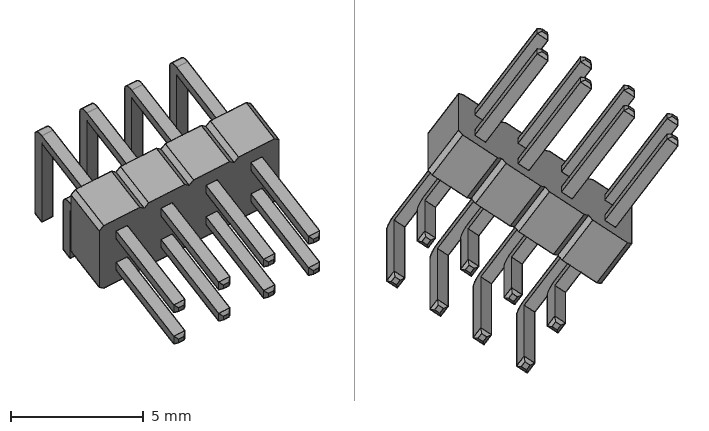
import cadquery as cq


overall_length = 9.95
overall_height = 6.4

pitch = 2.0
pins_per_row = 4
row_count = 2

block_depth = pitch
block_width = pins_per_row * pitch
block_height = row_count * pitch
corner_chamfer = 0.2

pin_side = 0.5
tip_chamfer = 0.13
bend_radius = pin_side
rear_reach = 3.75

pin_bottom = block_height / 2 - overall_height
pin_back = -block_depth / 2 - rear_reach
pin_front = pin_back + overall_length


def make_block_cell():
    """One pin position of the block, chamfered along its four X edges."""
    cell = cq.Workplane("XY").box(block_depth, pitch, block_height)
    return cell.edges("|X").chamfer(corner_chamfer)


def make_pin(back, center_z):
    """L-shaped pin centred on Y = 0, with its mating leg at height center_z."""
    top = center_z + pin_side / 2
    inner_z = center_z - pin_side / 2
    inner_x = back + pin_side
    pin = (
        cq.Workplane("XZ")
        .moveTo(back, pin_bottom)
        .lineTo(inner_x, pin_bottom)
        .lineTo(inner_x, inner_z)
        .lineTo(pin_front, inner_z)
        .lineTo(pin_front, top)
        .lineTo(back + bend_radius, top)
        .radiusArc((back, top - bend_radius), -bend_radius)
        .close()
        .extrude(pin_side / 2, both=True)
    )
    pin = pin.faces(">X").chamfer(tip_chamfer)
    return pin.faces("<Z").chamfer(tip_chamfer)


def make_position():
    """One block cell with its stack of pins; lower pins nest inside upper ones."""
    position = make_block_cell()
    for row in range(row_count):
        center_z = block_height / 2 - (row + 0.5) * pitch
        position = position.union(make_pin(pin_back + row * pitch, center_z))
    return position


first_y = (pitch - block_width) / 2
position = make_position()
result = position.translate((0, first_y, 0))
for index in range(1, pins_per_row):
    result = result.union(position.translate((0, first_y + index * pitch, 0)))
result = result.clean()